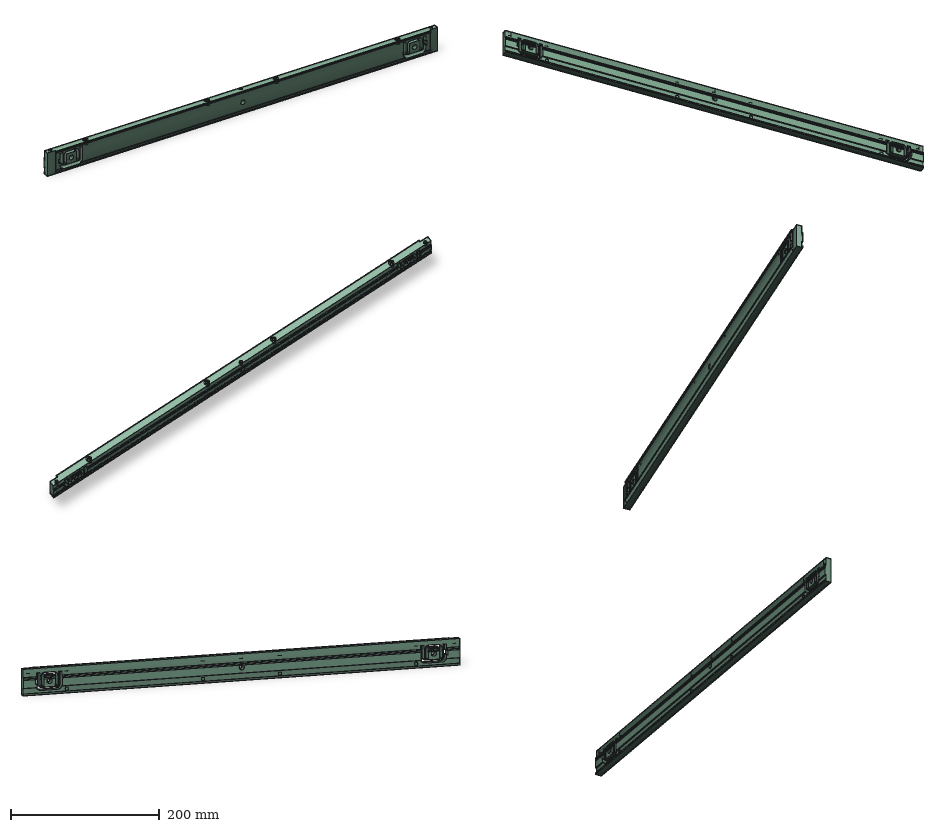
import cadquery as cq

LENGTH = 625.0
DEPTH = 12.0
HEIGHT = 36.0
END_Y = LENGTH / 2
OUTER_X = DEPTH / 2
TOP_Z = HEIGHT / 2

WEB_FRONT_X = -4.5
RAIL_BACK_X = 4.5
BAND_TOP_Z = 7.0
BAND_BOTTOM_Z = -8.0
FOOT_TOP_Z = -15.5
LIP_HEIGHT = 2.5
LIP_EDGE = 0.5
LOWER_LIP_TOP_Z = -12.0
TONGUE_BACK_X = 3.0
TONGUE_LENGTH = 12.5

GROOVE_TOP_Z = 5.0
GROOVE_BOTTOM_Z = 3.0
GROOVE_DEPTH = 0.5

CLIP_Y = 275.0
OUTER_SLOT_GAP = 4.5
INNER_SLOT_GAP = 4.0
CLIP_TOP_Z = 12.0
OUTER_SLOT_SPAN = 36.0
OUTER_SLOT_BOTTOM_Z = -12.5
OUTER_CORNER_RADIUS = 6.0
INNER_SLOT_SPAN = 24.0
INNER_SLOT_BOTTOM_Z = -7.0
INNER_CORNER_RADIUS = 5.0
NOTCH_HEIGHT = 6.0
NOTCH_DEPTH = 2.0

CROSS_HOLE_DIAMETER = 7.0
TOP_HOLE_DIAMETER = 4.6
TOP_HOLE_X = -2.0
TOP_HOLE_END_OFFSET = 7.5
TOP_HOLE_DEPTH = 6.0

STATIONS_Y = [-250.0, -55.0, 55.0, 250.0]
PLUG_DIAMETER = 7.5
PLUG_LENGTH = 6.0
PLUG_X = 0.0
SOCKET_DIAMETER = 3.9
SOCKET_DEPTH = 3.0
PIN_DIAMETER = 4.6
PIN_LENGTH = 4.5
PIN_Z = -12.5


def block(x_range, y_range, z_range):
    """Box between the given limits."""
    x0, x1 = x_range
    y0, y1 = y_range
    z0, z1 = z_range
    return cq.Workplane("XY").box(x1 - x0, y1 - y0, z1 - z0, centered=False).translate((x0, y0, z0))


def cylinder_down(diameter, x, y, depth):
    """Vertical cylinder going down from the top face."""
    solid = cq.Solid.makeCylinder(diameter / 2, depth, cq.Vector(x, y, TOP_Z), cq.Vector(0, 0, -1))
    return cq.Workplane(obj=solid)


def cylinder_across(diameter, x, y, z, depth):
    """Cylinder along +X that starts at x."""
    solid = cq.Solid.makeCylinder(diameter / 2, depth, cq.Vector(x, y, z), cq.Vector(1, 0, 0))
    return cq.Workplane(obj=solid)


def rail_blank():
    """Full-length extrusion with the thinner ends cut back."""
    profile = [
        (WEB_FRONT_X, TOP_Z),
        (OUTER_X - LIP_EDGE, TOP_Z),
        (OUTER_X, TOP_Z - LIP_EDGE),
        (OUTER_X, TOP_Z - LIP_HEIGHT),
        (RAIL_BACK_X, TOP_Z - LIP_HEIGHT),
        (RAIL_BACK_X, LOWER_LIP_TOP_Z),
        (OUTER_X, LOWER_LIP_TOP_Z),
        (OUTER_X, LOWER_LIP_TOP_Z - LIP_HEIGHT),
        (TONGUE_BACK_X, -TOP_Z),
        (-OUTER_X, -TOP_Z),
        (-OUTER_X, FOOT_TOP_Z),
        (WEB_FRONT_X, FOOT_TOP_Z),
        (WEB_FRONT_X, BAND_BOTTOM_Z),
        (-OUTER_X, BAND_BOTTOM_Z),
        (-OUTER_X, GROOVE_BOTTOM_Z),
        (-OUTER_X + GROOVE_DEPTH, GROOVE_BOTTOM_Z),
        (-OUTER_X + GROOVE_DEPTH, GROOVE_TOP_Z),
        (-OUTER_X, GROOVE_TOP_Z),
        (-OUTER_X, BAND_TOP_Z),
        (WEB_FRONT_X, BAND_TOP_Z),
    ]
    blank = cq.Workplane("XZ").polyline(profile).close().extrude(END_Y, both=True)
    shoulder_y = END_Y - TONGUE_LENGTH
    for y_range in [(-END_Y, -shoulder_y), (shoulder_y, END_Y)]:
        blank = blank.cut(block((TONGUE_BACK_X, OUTER_X), y_range, (-TOP_Z, TOP_Z)))
    return blank


def slot_loop(span, gap, bottom_z, radius, rounded_end):
    """Rounded block less a smaller one: a slot along both sides and the rounded end."""
    half = span / 2
    inner_half = half - gap
    outer_z = [bottom_z, CLIP_TOP_Z]
    inner_z = [bottom_z, CLIP_TOP_Z]
    if rounded_end == "<Z":
        inner_z[0] += gap
    else:
        inner_z[1] -= gap
    through = (-OUTER_X, OUTER_X)
    outer = block(through, (-half, half), outer_z)
    inner = block(through, (-inner_half, inner_half), inner_z)
    outer = outer.faces(rounded_end).edges("|X").fillet(radius)
    inner = inner.faces(rounded_end).edges("|X").fillet(radius - gap)
    return outer.cut(inner)


def clip_cutter(side):
    """Slots of one spring clip: an outer U, an inverted inner U, an end notch and the tongue hole."""
    outer_u = slot_loop(OUTER_SLOT_SPAN, OUTER_SLOT_GAP, OUTER_SLOT_BOTTOM_Z, OUTER_CORNER_RADIUS, "<Z")
    inner_u = slot_loop(INNER_SLOT_SPAN, INNER_SLOT_GAP, INNER_SLOT_BOTTOM_Z, INNER_CORNER_RADIUS, ">Z")
    notch_end = OUTER_SLOT_SPAN / 2 + NOTCH_DEPTH
    notch_y = sorted([side * (notch_end - NOTCH_DEPTH - OUTER_SLOT_GAP), side * notch_end])
    notch = block((-OUTER_X, OUTER_X), notch_y, (-NOTCH_HEIGHT / 2, NOTCH_HEIGHT / 2))
    hole = cylinder_across(CROSS_HOLE_DIAMETER, -OUTER_X, 0, 0, DEPTH)
    cutter = outer_u.union(notch).union(inner_u).union(hole)
    return cutter.translate((0, side * CLIP_Y, 0))


def plug_body(y):
    """Flush top plug with a round socket."""
    body = cylinder_down(PLUG_DIAMETER, PLUG_X, y, PLUG_LENGTH)
    return body.cut(cylinder_down(SOCKET_DIAMETER, PLUG_X, y, SOCKET_DEPTH))


def pin_body(y):
    """Side pin, flush with the lower flat of the rail."""
    return cylinder_across(PIN_DIAMETER, WEB_FRONT_X, y, PIN_Z, PIN_LENGTH)


def rail_body():
    """Rail with its clips, holes and fastener seats."""
    body = rail_blank()
    for side in (-1, 1):
        body = body.cut(clip_cutter(side))
    body = body.cut(cylinder_across(CROSS_HOLE_DIAMETER, -OUTER_X, 0, 0, DEPTH))
    top_hole_end_y = END_Y - TOP_HOLE_END_OFFSET
    for y in (-top_hole_end_y, 0, top_hole_end_y):
        body = body.cut(cylinder_down(TOP_HOLE_DIAMETER, TOP_HOLE_X, y, TOP_HOLE_DEPTH))
    for y in STATIONS_Y:
        body = body.cut(cylinder_down(PLUG_DIAMETER, PLUG_X, y, PLUG_LENGTH))
        body = body.cut(pin_body(y))
    return body


rail = rail_body()
plugs = [plug_body(y) for y in STATIONS_Y]
pins = [pin_body(y) for y in STATIONS_Y]

result = cq.Compound.makeCompound([body.val() for body in [rail, *plugs, *pins]])